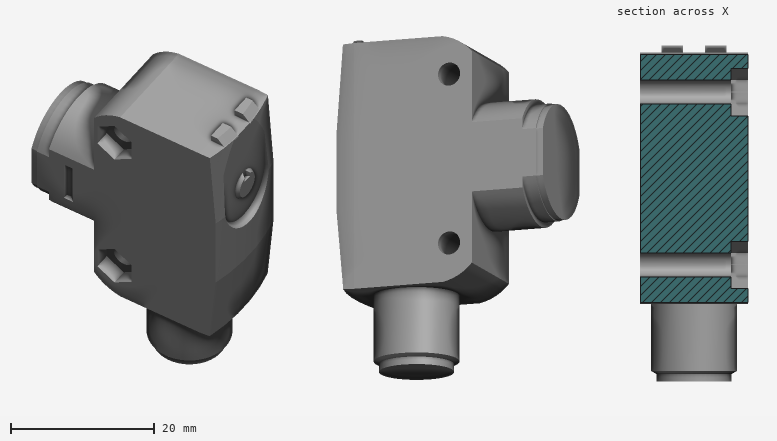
import cadquery as cq
import math


width = 15.0
half_width = width / 2
housing_length = 17.45
housing_half_height = 17.5
rear_half_height = 15.05
housing_corner_length = 4.3
housing_corner_radius = 7.5

nose_radius = 9.0
nose_length = 7.5
collar_radius = 8.25
nose_overall_length = 10.5
cap_length = 1.0
cap_inset = 0.15

groove_rear_x = -5.0
groove_width = 1.5
groove_height = 6.5
groove_depth = 0.75

hole_x = 3.35
hole_z = 12.05
hole_diameter = 3.28
nut_across_flats = 5.65
nut_depth = 2.4
rib_thickness = 0.1
rib_reach = 0.35

cover_peak_x = 21.0
face_radius = 30.0
cover_draft = 2.5
upper_bend_z = 5.1
lower_bend_z = -6.45
face_lean_top = 0.95
face_lean_bottom = 1.0

recess_floor_x = 20.0
recess_radius = 5.25
recess_center_z = 6.0
recess_wall_slope = 35

knob_center_z = 6.85
knob_base_radius = 2.3
knob_tip_radius = 1.9
knob_height = 0.55
notch_base_width = 0.65
notch_tip_width = 1.4
notch_length = 1.15

tab_height = 1.0
tab_root = 0.25
tab_width = 3.0
tab_center_y = tab_width

connector_x = 10.95
connector_radius = 6.0
connector_tip_radius = 5.25
connector_shoulder_z = -26.8
connector_neck_z = -27.25
connector_end_z = -28.3


def x_cylinder(radius, start_x, length):
    return cq.Workplane("YZ", origin=(start_x, 0, 0)).circle(radius).extrude(length)


def make_housing():
    outline = (
        cq.Workplane("XZ", origin=(0, half_width, 0))
        .moveTo(0, -rear_half_height)
        .lineTo(0, rear_half_height)
        .radiusArc((housing_corner_length, housing_half_height), housing_corner_radius)
        .lineTo(housing_length, housing_half_height)
        .lineTo(housing_length, -housing_half_height)
        .lineTo(housing_corner_length, -housing_half_height)
        .radiusArc((0, -rear_half_height), housing_corner_radius)
        .close()
    )
    return outline.extrude(width)


def flat_sided_disc(radius, flat_half_width, start_x, end_x):
    length = end_x - start_x
    disc = x_cylinder(radius, start_x, length)
    flats = cq.Workplane("YZ", origin=(start_x, 0, 0)).rect(2 * flat_half_width, 2 * radius)
    return disc.intersect(flats.extrude(length))


def make_nose():
    cap_front_x = cap_length - nose_overall_length
    barrel = flat_sided_disc(nose_radius, half_width, -nose_length, 0)
    collar = flat_sided_disc(collar_radius, half_width, cap_front_x, 0)
    cap = flat_sided_disc(collar_radius - cap_inset, half_width - cap_inset, -nose_overall_length, 0)
    return barrel.union(collar).union(cap)


def make_latch_groove():
    front_x = groove_rear_x + groove_width
    section = cq.Workplane("XY", origin=(0, -half_width, -groove_height / 2)).polyline(
        [
            (groove_rear_x, 0),
            (groove_rear_x, groove_depth),
            (front_x - groove_depth, groove_depth),
            (front_x, 0),
        ]
    )
    return section.close().extrude(groove_height)


def make_nut_rib(center_z):
    wall_x = hole_x + nut_across_flats / 2
    floor_y = nut_depth - half_width
    section = cq.Workplane("XY", origin=(0, 0, center_z - rib_thickness / 2)).polyline(
        [(wall_x, -half_width), (wall_x, floor_y), (wall_x - rib_reach, floor_y)]
    )
    return section.close().extrude(rib_thickness)


def make_mounting_hole(center_z):
    side = cq.Workplane("XZ", origin=(hole_x, -half_width, center_z))
    hole = side.circle(hole_diameter / 2).extrude(-width)
    across_corners = nut_across_flats / math.cos(math.pi / 6)
    nut = side.transformed(rotate=(0, 0, 90)).polygon(6, across_corners).extrude(-nut_depth)
    return hole.union(nut).cut(make_nut_rib(center_z))


def face_section(z, lean):
    peak_x = cover_peak_x - lean
    edge_x = peak_x - face_radius + math.sqrt(face_radius**2 - half_width**2)
    section = (
        cq.Workplane("XY", origin=(0, 0, z))
        .moveTo(housing_length, -half_width)
        .lineTo(edge_x, -half_width)
        .threePointArc((peak_x, 0), (edge_x, half_width))
        .lineTo(housing_length, half_width)
        .close()
    )
    return section.val()


def make_cover():
    face = cq.Solid.makeLoft(
        [
            face_section(-housing_half_height, face_lean_bottom),
            face_section(lower_bend_z, 0),
            face_section(upper_bend_z, 0),
            face_section(housing_half_height, face_lean_top),
        ],
        True,
    )
    block = (
        cq.Workplane("YZ", origin=(housing_length, 0, 0))
        .rect(width, 2 * housing_half_height)
        .extrude(cover_peak_x - housing_length, taper=cover_draft)
    )
    return block.intersect(cq.Workplane(face))


def make_recess():
    depth = cover_peak_x - recess_floor_x
    open_z = recess_center_z + housing_half_height
    outline = (
        cq.Workplane("YZ", origin=(recess_floor_x, 0, 0))
        .moveTo(-recess_radius, open_z)
        .lineTo(-recess_radius, recess_center_z)
        .threePointArc((0, recess_center_z - recess_radius), (recess_radius, recess_center_z))
        .lineTo(recess_radius, open_z)
        .close()
    )
    return outline.extrude(depth, taper=-recess_wall_slope)


def make_knob():
    cone = cq.Solid.makeCone(
        knob_base_radius,
        knob_tip_radius,
        knob_height,
        cq.Vector(recess_floor_x, 0, knob_center_z),
        cq.Vector(1, 0, 0),
    )
    tip_x = recess_floor_x + knob_height
    notch_bottom_z = knob_center_z + knob_base_radius - notch_length
    notch = cq.Workplane("XY", origin=(0, 0, notch_bottom_z)).polyline(
        [
            (recess_floor_x, -notch_base_width / 2),
            (tip_x, -notch_tip_width / 2),
            (tip_x, notch_tip_width / 2),
            (recess_floor_x, notch_base_width / 2),
        ]
    )
    return cq.Workplane(cone).cut(notch.close().extrude(notch_length))


def make_tab(center_y):
    length = cover_peak_x - housing_length
    base_z = housing_half_height - tab_root
    height = tab_root + tab_height
    block = cq.Workplane("XY", origin=(housing_length, center_y, base_z)).box(
        length, tab_width, height, centered=(False, True, False)
    )
    slope = cq.Solid.makeCone(
        face_radius,
        face_radius - height,
        height,
        cq.Vector(cover_peak_x - face_lean_top - face_radius, 0, base_z),
        cq.Vector(0, 0, 1),
    )
    return block.intersect(cq.Workplane(slope))


def make_connector():
    profile = cq.Workplane("XZ", origin=(connector_x, 0, 0)).polyline(
        [
            (0, -housing_half_height),
            (connector_radius, -housing_half_height),
            (connector_radius, connector_shoulder_z),
            (connector_tip_radius, connector_neck_z),
            (connector_tip_radius, connector_end_z),
            (0, connector_end_z),
        ]
    )
    return profile.close().revolve(360, (0, 0, 0), (0, 1, 0))


result = make_housing().union(make_nose()).union(make_cover()).union(make_connector())
result = result.cut(make_recess()).union(make_knob()).cut(make_latch_groove())
for side in (-1, 1):
    result = result.cut(make_mounting_hole(side * hole_z))
    result = result.union(make_tab(side * tab_center_y))